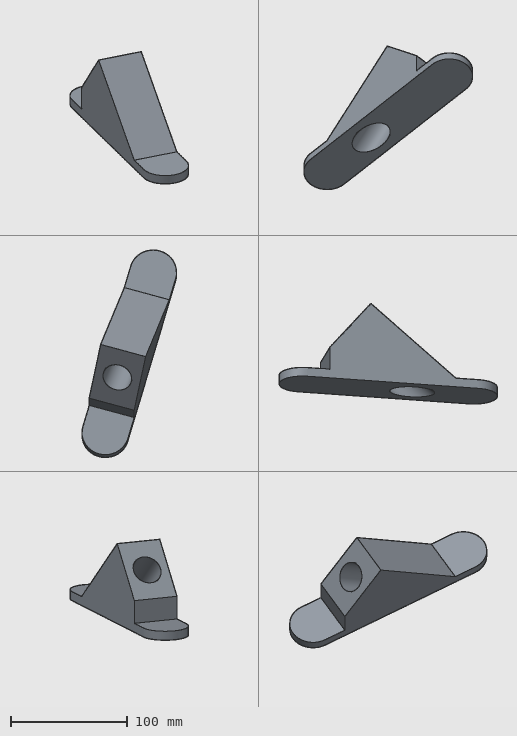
import cadquery as cq
import math

length = 190.0
width = 40.0
base_thickness = 8.0

wedge_left = -55.3
wedge_right = 55.0
peak_x = -19.4
peak_z = 70.5
shoulder_z = 28.0

socket_diameter = 25.0
socket_reach = length


def make_base():
    return cq.Workplane("XY").slot2D(length, width).extrude(base_thickness)


def make_wedge():
    return (
        cq.Workplane("XZ")
        .moveTo(wedge_left, 0)
        .lineTo(wedge_left, shoulder_z)
        .lineTo(peak_x, peak_z)
        .lineTo(wedge_right, base_thickness)
        .lineTo(wedge_right, 0)
        .close()
        .extrude(width / 2, both=True)
    )


def make_socket():
    face_angle = math.atan2(peak_z - shoulder_z, peak_x - wedge_left)
    face_centre = cq.Vector((wedge_left + peak_x) / 2, 0, (shoulder_z + peak_z) / 2)
    inward = cq.Vector(math.sin(face_angle), 0, -math.cos(face_angle))
    return cq.Solid.makeCylinder(socket_diameter / 2, socket_reach, face_centre, inward)


result = make_base().union(make_wedge()).cut(make_socket())